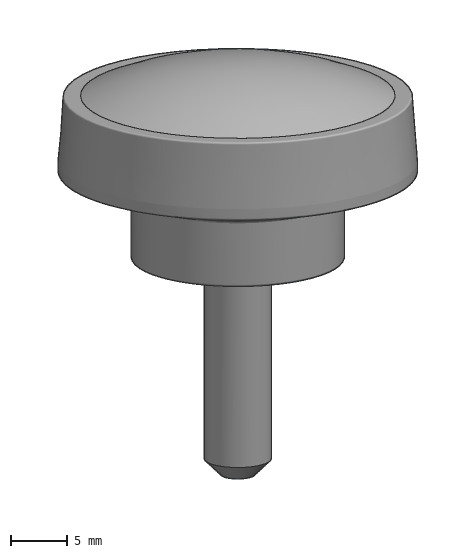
import cadquery as cq

total_height = 38.0
rim_top = 35.0
band_top = 29.0
band_bottom = 28.0
hub_top = 26.0
hub_bottom = 20.0

head_radius = 32.0 / 2
rim_radius = 15.55
dome_radius = 14.0
hub_radius = 19.0 / 2
stem_radius = 6.0 / 2

tip_chamfer = 1.5
edge_round = 0.2

box_margin = 0.08


def dome_height(radius):
    """Height of the spherical cap at a given distance from the axis."""
    rise = total_height - rim_top
    sphere_radius = (dome_radius**2 + rise**2) / (2 * rise)
    return total_height - sphere_radius + (sphere_radius**2 - radius**2) ** 0.5


def make_knob():
    """Revolve the half section of head, hub and stem about the Z axis."""
    mid_radius = dome_radius / 2
    return (
        cq.Workplane("XZ")
        .moveTo(0, 0)
        .lineTo(stem_radius - tip_chamfer, 0)
        .lineTo(stem_radius, tip_chamfer)
        .lineTo(stem_radius, hub_bottom)
        .lineTo(hub_radius, hub_bottom)
        .lineTo(hub_radius, hub_top)
        .lineTo(head_radius, band_bottom)
        .lineTo(head_radius, band_top)
        .lineTo(rim_radius, rim_top)
        .lineTo(dome_radius, rim_top)
        .threePointArc((mid_radius, dome_height(mid_radius)), (0, total_height))
        .close()
        .revolve(360, (0, 0, 0), (0, 1, 0))
    )


def round_edges(knob):
    """Round the rim, the band underside, both ends of the hub and the root of the stem."""
    rounded_circles = (
        (rim_radius, rim_top),
        (head_radius, band_bottom),
        (hub_radius, hub_bottom),
        (hub_radius, hub_top),
        (stem_radius, hub_bottom),
    )
    for radius, height in rounded_circles:
        ring_box = cq.selectors.BoxSelector(
            (-radius - box_margin, -radius - box_margin, height - box_margin),
            (radius + box_margin, radius + box_margin, height + box_margin),
            boundingbox=True,
        )
        circles = knob.edges("%CIRCLE").edges(ring_box)
        outermost_circle = circles.edges(cq.selectors.RadiusNthSelector(-1))
        knob = outermost_circle.fillet(edge_round)
    return knob


result = round_edges(make_knob())